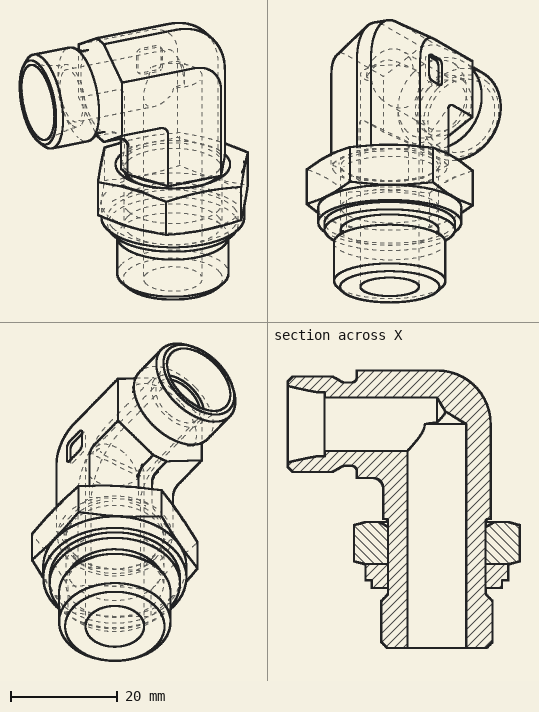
import cadquery as cq
import math

total_height = 52.1
block_flats = 19.0
block_depth = 20.2
block_bottom_z = 24.2
block_front_reach = 15.05
inner_fillet_radius = 2.0

stud_diameter = 20.95
stud_neck_diameter = 18.4
stud_end_diameter = 18.65
stud_shoulder_z = 8.8
stud_shoulder_angle = 45.0
stud_neck_fillet = 0.6
stud_root_fillet = 0.3
stud_bore_diameter = 11.0

port_reach = 28.05
port_diameter = 18.0
port_neck_diameter = 15.7
port_end_diameter = 16.05
port_shoulder_reach = 19.6
port_shoulder_angle = 30.0
port_neck_fillet = 1.25
port_root_fillet = 0.95
port_bore_diameter = 10.0
tube_socket_diameter = 12.0
tube_socket_depth = 7.0
cone_mouth_diameter = 14.35
cone_half_angle = 12.0
drill_tip_half_angle = 59.0

pocket_side = 5.05
pocket_corner_radius = 1.0
pocket_depth = 0.8
pocket_offset_y = -0.5
pocket_offset_z = -0.45

nut_flats = 27.0
nut_bottom_z = 15.7
nut_height = 7.95
nut_chamfer_diameter = 26.9
nut_chamfer_angle = 15.0
nut_countersink_diameter = 21.5
nut_countersink_slope = 30.0

ring_diameter = 26.9
ring_thickness = 2.95
ring_lip_diameter = 24.5
ring_lip_thickness = 1.45

port_axis_z = total_height - block_depth / 2
hexagon_corner_ratio = 2 / math.sqrt(3)
hexagon_half_sector = 30.0
nut_corners = nut_flats * hexagon_corner_ratio
nut_top_z = nut_bottom_z + nut_height


def tangent(degrees):
    return math.tan(math.radians(degrees))


def revolve_about_z(outline):
    """Revolve a closed outline of (radius, height) points about Z."""
    return outline.close().revolve(360, (0, 0, 0), (0, 1, 0))


def face_port(body):
    """Turn a body built upwards from the origin so it runs from the port face towards +Y."""
    return body.rotate((0, 0, 0), (1, 0, 0), -90).translate((0, -port_reach, port_axis_z))


def undercut(outline, neck_radius, fillet_radius, slope, shoulder):
    """Narrow from a shoulder point (radius, height) by a cone and a fillet onto the neck above it."""
    outer_radius, shoulder_height = shoulder

    def arc_offset(degrees):
        angle = math.radians(degrees)
        return fillet_radius * (1 - math.cos(angle)), fillet_radius * math.sin(angle)

    out, along = arc_offset(slope)
    mid_out, mid_along = arc_offset(slope / 2)
    cone_end_radius = neck_radius + out
    cone_end_height = shoulder_height + (outer_radius - cone_end_radius) / tangent(slope)
    neck_height = cone_end_height + along
    return (
        outline
        .lineTo(outer_radius, shoulder_height)
        .lineTo(cone_end_radius, cone_end_height)
        .threePointArc((neck_radius + mid_out, neck_height - mid_along), (neck_radius, neck_height))
    )


def root_fillet(outline, neck_radius, fillet_radius, block_height):
    """Follow the neck up and flare it out by a quarter arc where it meets the block."""
    return (
        outline
        .lineTo(neck_radius, block_height - fillet_radius)
        .radiusArc((neck_radius + fillet_radius, block_height), fillet_radius)
    )


def block_outline():
    """Points of the hexagonal leg section, with its two +-Y corners cut flat."""
    half_flats = block_flats / 2
    half_depth = block_depth / 2
    flat_end_y = half_flats * tangent(hexagon_half_sector)
    corner_y = block_flats * hexagon_corner_ratio / 2
    cut_half_width = (corner_y - half_depth) / tangent(hexagon_half_sector)
    quarter = [(half_flats, flat_end_y), (cut_half_width, half_depth)]
    upper = quarter + [(-x, y) for x, y in reversed(quarter)]
    return upper + [(-x, -y) for x, y in upper]


def half_block_outline():
    """The +Y half of the leg section, closed along the X axis."""
    half_flats = block_flats / 2
    upper = [(x, y) for x, y in block_outline() if y > 0]
    return [(half_flats, 0)] + upper + [(-half_flats, 0)]


def elbow_block():
    """Two mitred legs joined on the outside by turning half the section about the bend centre."""
    leg_height = port_axis_z - block_bottom_z
    vertical_leg = (
        cq.Workplane("XY", origin=(0, 0, block_bottom_z))
        .polyline(block_outline()).close()
        .extrude(leg_height)
    )
    port_leg = (
        cq.Workplane("XZ", origin=(0, 0, port_axis_z))
        .polyline(block_outline()).close()
        .extrude(block_front_reach)
    )
    outer_bend = (
        cq.Workplane("XY", origin=(0, 0, port_axis_z))
        .polyline(half_block_outline()).close()
        .revolve(90, (0, 0, 0), (1, 0, 0))
    )
    return vertical_leg.union(port_leg).union(outer_bend)


def round_inner_corner(block):
    """Fillet the three crease edges where the two legs meet on the inside of the bend."""
    half_flats = block_flats / 2
    crease_start = block_depth / 4
    crease_end = block_flats * hexagon_corner_ratio / 2
    crease_box = cq.selectors.BoxSelector(
        (-half_flats, -crease_end, port_axis_z - crease_end),
        (half_flats, -crease_start, port_axis_z - crease_start),
    )
    diagonal = cq.selectors.PerpendicularDirSelector(cq.Vector(0, 1, -1))
    return block.edges(crease_box).edges(diagonal).fillet(inner_fillet_radius)


def stud():
    """Stud end with its undercut neck, running up to the block."""
    outer_radius = stud_diameter / 2
    neck_radius = stud_neck_diameter / 2
    end_radius = stud_end_diameter / 2
    outline = (
        cq.Workplane("XZ")
        .lineTo(end_radius, 0)
        .lineTo(outer_radius, outer_radius - end_radius)
    )
    outline = undercut(
        outline, neck_radius, stud_neck_fillet, stud_shoulder_angle, (outer_radius, stud_shoulder_z)
    )
    outline = root_fillet(outline, neck_radius, stud_root_fillet, block_bottom_z)
    return revolve_about_z(outline.lineTo(0, block_bottom_z))


def port():
    """Tube port with its undercut neck, running from the port face back to the block."""
    outer_radius = port_diameter / 2
    neck_radius = port_neck_diameter / 2
    end_radius = port_end_diameter / 2
    length = port_reach - block_front_reach
    outline = (
        cq.Workplane("XZ")
        .lineTo(end_radius, 0)
        .lineTo(outer_radius, outer_radius - end_radius)
    )
    shoulder = (outer_radius, port_reach - port_shoulder_reach)
    outline = undercut(outline, neck_radius, port_neck_fillet, port_shoulder_angle, shoulder)
    outline = root_fillet(outline, neck_radius, port_root_fillet, length)
    return face_port(revolve_about_z(outline.lineTo(0, length)))


def stud_bore():
    """Drilled hole from the stud end to the port axis, with a conical drill tip."""
    radius = stud_bore_diameter / 2
    return revolve_about_z(
        cq.Workplane("XZ")
        .lineTo(radius, 0)
        .lineTo(radius, port_axis_z)
        .lineTo(0, port_axis_z + radius / tangent(drill_tip_half_angle))
    )


def port_bore():
    """Tube cone, tube socket and drilled hole from the port face to the stud axis."""
    mouth_radius = cone_mouth_diameter / 2
    socket_radius = tube_socket_diameter / 2
    bore_radius = port_bore_diameter / 2
    cone_depth = (mouth_radius - socket_radius) / tangent(cone_half_angle)
    return face_port(revolve_about_z(
        cq.Workplane("XZ")
        .lineTo(mouth_radius, 0)
        .lineTo(socket_radius, cone_depth)
        .lineTo(socket_radius, tube_socket_depth)
        .lineTo(bore_radius, tube_socket_depth)
        .lineTo(bore_radius, port_reach)
        .lineTo(0, port_reach + bore_radius / tangent(drill_tip_half_angle))
    ))


def side_pocket():
    """Rounded square pocket sunk into the -X flat of the block."""
    return (
        cq.Workplane("YZ", origin=(-block_flats / 2, pocket_offset_y, port_axis_z + pocket_offset_z))
        .rect(pocket_side, pocket_side)
        .extrude(pocket_depth)
        .edges("|X")
        .fillet(pocket_corner_radius)
    )


def make_elbow():
    solid = round_inner_corner(elbow_block()).union(stud()).union(port())
    return solid.cut(stud_bore()).cut(port_bore()).cut(side_pocket())


def nut_envelope():
    """Double cone that chamfers the nut corners at both ends."""
    end_radius = nut_chamfer_diameter / 2
    corner_radius = nut_corners / 2
    drop = (corner_radius - end_radius) * tangent(nut_chamfer_angle)
    return revolve_about_z(
        cq.Workplane("XZ")
        .moveTo(0, nut_bottom_z)
        .lineTo(end_radius, nut_bottom_z)
        .lineTo(corner_radius, nut_bottom_z + drop)
        .lineTo(corner_radius, nut_top_z - drop)
        .lineTo(end_radius, nut_top_z)
        .lineTo(0, nut_top_z)
    )


def nut_hole():
    """Hole that fits the stud neck, countersunk from the top."""
    radius = stud_neck_diameter / 2
    top_radius = nut_countersink_diameter / 2
    countersink_depth = (top_radius - radius) * tangent(nut_countersink_slope)
    return revolve_about_z(
        cq.Workplane("XZ")
        .moveTo(0, nut_bottom_z)
        .lineTo(radius, nut_bottom_z)
        .lineTo(radius, nut_top_z - countersink_depth)
        .lineTo(top_radius, nut_top_z)
        .lineTo(0, nut_top_z)
    )


def make_locknut():
    prism = (
        cq.Workplane("XY", origin=(0, 0, nut_bottom_z))
        .polygon(6, nut_corners)
        .extrude(nut_height)
        .rotate((0, 0, 0), (0, 0, 1), hexagon_half_sector)
    )
    return prism.intersect(nut_envelope()).cut(nut_hole())


def make_seal_ring():
    """Flat ring against the nut with a smaller lip below it, seated on the stud neck."""
    flange = (
        cq.Workplane("XY", origin=(0, 0, nut_bottom_z))
        .circle(ring_diameter / 2)
        .circle(stud_neck_diameter / 2)
        .extrude(-ring_thickness)
    )
    lip = (
        cq.Workplane("XY", origin=(0, 0, nut_bottom_z - ring_thickness))
        .circle(ring_lip_diameter / 2)
        .circle(stud_neck_diameter / 2)
        .extrude(-ring_lip_thickness)
    )
    return flange.union(lip)


elbow = make_elbow()
locknut = make_locknut()
seal_ring = make_seal_ring()

result = cq.Compound.makeCompound([elbow.val(), locknut.val(), seal_ring.val()])